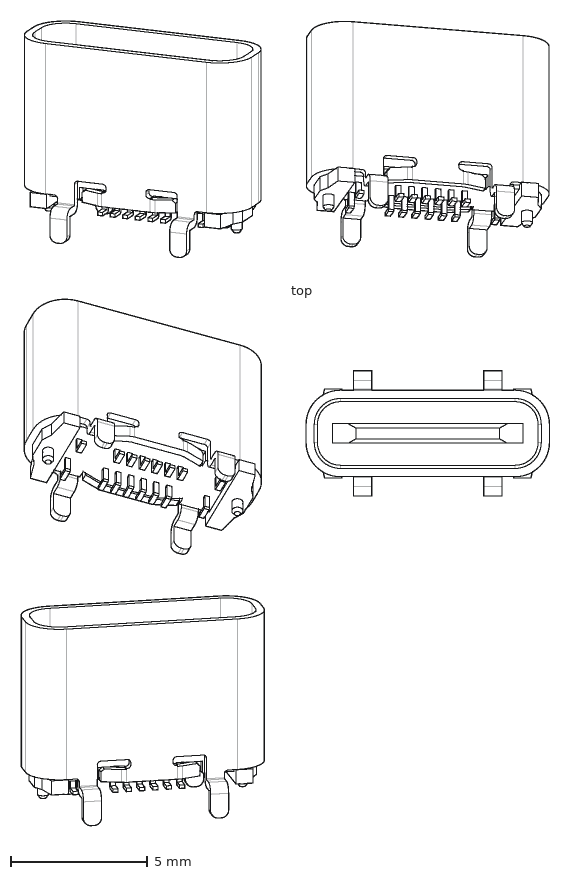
import cadquery as cq
import math


SHELL_LENGTH = 8.94
SHELL_WIDTH = 3.17
SHELL_CORNER = 1.26
WALL = 0.3
SHELL_TOP = 7.35
SHELL_BOTTOM = 1.61
INNER_LENGTH = SHELL_LENGTH - 2 * WALL
INNER_WIDTH = SHELL_WIDTH - 2 * WALL
INNER_CORNER = SHELL_CORNER - WALL
OUTER_Y = SHELL_WIDTH / 2
INNER_Y = INNER_WIDTH / 2

LEG_X = 2.39
LEG_WIDTH = 0.68
LEG_SPAN = 4.6
LEG_SHELF_TOP = 1.29
LEG_UPPER_BEND = 0.04
LEG_LOWER_BEND = 0.36
LEG_TIP_RADIUS = 0.29
LEG_ROOT_RADIUS = 0.13
LEG_INNER_X = LEG_X - LEG_WIDTH / 2
LEG_OUTER_X = LEG_X + LEG_WIDTH / 2

TAB_BOTTOM = 1.37
TAB_HALF = 0.965
EAR_BEND = 0.18
EAR_END_X = 1.86
EAR_ANGLE = 19.0
EAR_TOP = 1.86
EAR_CHAMFER = 0.12
WINDOW_TOP = 2.235
WINDOW_BOTTOM = 1.895
WINDOW_INNER_X = 0.8
WINDOW_RADIUS = 0.13

HOUSING_BOTTOM = 1.46
HOUSING_FLOOR = 2.5
FLOOR_CHAMFER = 0.12
POCKET_END_X = 1.97
POCKET_TOP = 1.91

FOOT_BOTTOM = 1.06
FOOT_INNER_X = 3.15
FOOT_CORNER = (3.79, 1.64)
FOOT_KNEE = (3.96, 0.84)
FOOT_END = (4.175, 0.47)

PEG_X = 3.75
PEG_DIAMETER = 0.41
PEG_TIP = 0.51
PEG_CHAMFER = 0.09
PEG_CHAMFER_HEIGHT = 0.13

TONGUE_HALF_LENGTH = 3.5
TONGUE_HALF_WIDTH = 0.36
TONGUE_TOP = 6.88
TIP_HALF_LENGTH = 2.64
TIP_HALF_WIDTH = 0.2
TIP_SIDE_DROP = 0.16
TIP_END_DROP = 0.49

PIN_PITCH = 0.5
PIN_SLOTS = (0.5, 1.5, 2.5, 5.5)
PIN_WIDTH = 0.2
PIN_THICKNESS = 0.13
PIN_INNER_Y = 0.49
PIN_REACH_Y = 1.06
PIN_BOTTOM = 0.86
PIN_BEND = 0.06


def box(x0, x1, y0, y1, z0, z1):
    return cq.Workplane("XY").box(x1 - x0, y1 - y0, z1 - z0, centered=False).translate((x0, y0, z0))


def rounded_prism(length, width, radius, bottom, top):
    slab = cq.Workplane("XY").workplane(offset=bottom).rect(length, width).extrude(top - bottom)
    return slab.edges("|Z").fillet(radius)


def with_x_mirror(body):
    return body.union(body.mirror("YZ"))


def in_four_quadrants(body):
    half = with_x_mirror(body)
    return half.union(half.mirror("XZ"))


def make_shell():
    tube = rounded_prism(SHELL_LENGTH, SHELL_WIDTH, SHELL_CORNER, TAB_BOTTOM, SHELL_TOP)
    bore = rounded_prism(INNER_LENGTH, INNER_WIDTH, INNER_CORNER, TAB_BOTTOM, SHELL_TOP)
    end_cut = box(LEG_OUTER_X, SHELL_LENGTH, -OUTER_Y, OUTER_Y, 0, SHELL_BOTTOM)
    end_cut = end_cut.edges("|Y and >Z and <X").fillet(LEG_ROOT_RADIUS)
    window = box(WINDOW_INNER_X, LEG_INNER_X, -OUTER_Y, OUTER_Y, WINDOW_BOTTOM, WINDOW_TOP)
    window = window.edges("|Y and (>Z or <X)").fillet(WINDOW_RADIUS)
    gap = box(TAB_HALF, LEG_INNER_X, -OUTER_Y, OUTER_Y, 0, (WINDOW_BOTTOM + WINDOW_TOP) / 2)
    cuts = end_cut.union(window).union(gap)
    return tube.cut(bore).cut(with_x_mirror(cuts))


def make_leg():
    shelf_bottom = LEG_SHELF_TOP - WALL
    tip_y = LEG_SPAN / 2
    bend_y = OUTER_Y + LEG_UPPER_BEND
    bend_z = LEG_SHELF_TOP + LEG_UPPER_BEND
    outer_bend = WALL + LEG_UPPER_BEND
    diagonal = math.sqrt(0.5)
    knee_y = tip_y - LEG_LOWER_BEND
    knee_z = LEG_SHELF_TOP - LEG_LOWER_BEND
    return (
        cq.Workplane("YZ").workplane(offset=LEG_INNER_X)
        .moveTo(INNER_Y, SHELL_BOTTOM)
        .lineTo(INNER_Y, bend_z)
        .threePointArc(
            (bend_y - outer_bend * diagonal, bend_z - outer_bend * diagonal), (bend_y, shelf_bottom))
        .lineTo(tip_y - WALL, shelf_bottom)
        .lineTo(tip_y - WALL, 0)
        .lineTo(tip_y, 0)
        .lineTo(tip_y, knee_z)
        .threePointArc(
            (knee_y + LEG_LOWER_BEND * diagonal, knee_z + LEG_LOWER_BEND * diagonal),
            (knee_y, LEG_SHELF_TOP))
        .lineTo(bend_y, LEG_SHELF_TOP)
        .threePointArc(
            (bend_y - LEG_UPPER_BEND * diagonal, bend_z - LEG_UPPER_BEND * diagonal), (OUTER_Y, bend_z))
        .lineTo(OUTER_Y, SHELL_BOTTOM)
        .close()
        .extrude(LEG_WIDTH)
        .edges("|Y and <Z").fillet(LEG_TIP_RADIUS)
    )


def ear_depth(x):
    """Distance the ear's outer face lies inside the shell's outer face."""
    bend_slope = math.tan(math.radians(EAR_ANGLE / 2))
    ear_slope = math.tan(math.radians(EAR_ANGLE))
    return EAR_BEND * bend_slope + (x - TAB_HALF - EAR_BEND) * ear_slope


def make_ear():
    bend_x = TAB_HALF + EAR_BEND
    ear = (
        cq.Workplane("XY").workplane(offset=TAB_BOTTOM)
        .polyline([
            (TAB_HALF, OUTER_Y),
            (bend_x, OUTER_Y - ear_depth(bend_x)),
            (EAR_END_X, OUTER_Y - ear_depth(EAR_END_X)),
            (EAR_END_X, INNER_Y - ear_depth(EAR_END_X)),
            (bend_x, INNER_Y - ear_depth(bend_x)),
            (TAB_HALF, INNER_Y),
        ])
        .close()
        .extrude(EAR_TOP - TAB_BOTTOM)
    )
    return ear.edges(">X and >Z").chamfer(EAR_CHAMFER)


def make_ear_pocket():
    bend_x = TAB_HALF + EAR_BEND
    return (
        cq.Workplane("XY").workplane(offset=HOUSING_BOTTOM)
        .polyline([
            (TAB_HALF, INNER_Y),
            (bend_x, INNER_Y - ear_depth(bend_x)),
            (POCKET_END_X, INNER_Y - ear_depth(POCKET_END_X)),
            (POCKET_END_X, INNER_Y),
        ])
        .close()
        .extrude(POCKET_TOP - HOUSING_BOTTOM)
    )


def make_housing():
    plug = rounded_prism(INNER_LENGTH, INNER_WIDTH, INNER_CORNER, SHELL_BOTTOM, HOUSING_FLOOR)
    plug = plug.faces(">Z").edges().chamfer(FLOOR_CHAMFER)
    skirt = box(-FOOT_INNER_X, FOOT_INNER_X, -INNER_Y, INNER_Y, HOUSING_BOTTOM, SHELL_BOTTOM)
    return plug.union(skirt).cut(in_four_quadrants(make_ear_pocket()))


def make_foot():
    front_side = [(FOOT_INNER_X, FOOT_CORNER[1]), FOOT_CORNER, FOOT_KNEE, FOOT_END]
    back_side = [(x, -y) for x, y in reversed(front_side)]
    block = (
        cq.Workplane("XY").workplane(offset=FOOT_BOTTOM)
        .polyline(front_side + back_side).close()
        .extrude(SHELL_BOTTOM - FOOT_BOTTOM)
    )
    peg = (
        cq.Workplane("XY").workplane(offset=PEG_TIP)
        .center(PEG_X, 0).circle(PEG_DIAMETER / 2)
        .extrude(FOOT_BOTTOM - PEG_TIP)
        .faces("<Z").chamfer(PEG_CHAMFER_HEIGHT, PEG_CHAMFER)
    )
    return block.union(peg)


def make_tongue():
    end_sloped = (
        cq.Workplane("XZ").workplane(offset=-TONGUE_HALF_WIDTH)
        .polyline([
            (-TONGUE_HALF_LENGTH, HOUSING_BOTTOM),
            (-TONGUE_HALF_LENGTH, TONGUE_TOP - TIP_END_DROP),
            (-TIP_HALF_LENGTH, TONGUE_TOP),
            (TIP_HALF_LENGTH, TONGUE_TOP),
            (TONGUE_HALF_LENGTH, TONGUE_TOP - TIP_END_DROP),
            (TONGUE_HALF_LENGTH, HOUSING_BOTTOM),
        ])
        .close()
        .extrude(2 * TONGUE_HALF_WIDTH)
    )
    side_sloped = (
        cq.Workplane("YZ").workplane(offset=-TONGUE_HALF_LENGTH)
        .polyline([
            (-TONGUE_HALF_WIDTH, HOUSING_BOTTOM),
            (-TONGUE_HALF_WIDTH, TONGUE_TOP - TIP_SIDE_DROP),
            (-TIP_HALF_WIDTH, TONGUE_TOP),
            (TIP_HALF_WIDTH, TONGUE_TOP),
            (TONGUE_HALF_WIDTH, TONGUE_TOP - TIP_SIDE_DROP),
            (TONGUE_HALF_WIDTH, HOUSING_BOTTOM),
        ])
        .close()
        .extrude(2 * TONGUE_HALF_LENGTH)
    )
    return end_sloped.intersect(side_sloped)


def make_pin(x):
    x0 = x - PIN_WIDTH / 2
    x1 = x + PIN_WIDTH / 2
    stem = box(x0, x1, PIN_INNER_Y, PIN_INNER_Y + PIN_THICKNESS, PIN_BOTTOM, HOUSING_BOTTOM)
    toe = box(x0, x1, PIN_INNER_Y, PIN_REACH_Y, PIN_BOTTOM, PIN_BOTTOM + PIN_THICKNESS)
    return stem.union(toe).edges("|X and <Y and <Z").chamfer(PIN_BEND)


body = make_shell().union(make_housing()).union(make_tongue())
body = body.union(in_four_quadrants(make_leg()))
body = body.union(in_four_quadrants(make_ear()))
body = body.union(with_x_mirror(make_foot()))
for slot in PIN_SLOTS:
    body = body.union(in_four_quadrants(make_pin(slot * PIN_PITCH)))
result = body